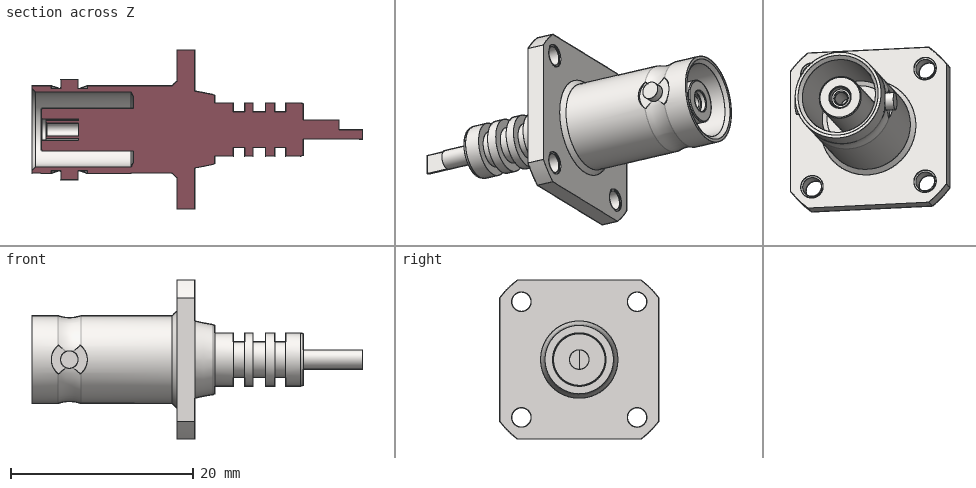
import cadquery as cq
total_length = 36.3
barrel_end = 15.4
flange_front = 15.9
flange_back = 17.9
collar_back = 20.07
cable_start = 29.8

barrel_radius = 9.65 / 2
flare_radius = barrel_radius + (flange_front - barrel_end)
groove_front = 2.85
groove_back = 5.37
groove_depth = 0.2

mouth_radius = 9.0 / 2
bore_radius = 8.2 / 2
floor_radius = 7.22 / 2
bore_end = 10.9
floor_station = 11.1

boss_radius = 4.72 / 2
boss_front = 1.0
boss_edge = 0.1
boss_hole_radius = 2.32 / 2
boss_mouth_radius = 2.5 / 2
contact_radius = 2.07 / 2
contact_front = 1.52
contact_entry_radius = 1.65 / 2
contact_hole_radius = 1.38 / 2
contact_hole_end = 5.1

pin_station = 4.1
pin_radius = 1.92 / 2
pin_tip = 5.5
pin_seat_radius = 3.95 / 2
pin_seat_height = 4.55

flange_side = 17.5
corner_radius = 22.15 / 2
hole_offset = 6.35
hole_diameter = 2.1
hole_mouth_diameter = 2.5
hole_mouth_depth = 0.15

collar_front_radius = 8.5 / 2
collar_back_radius = 7.75 / 2
collar_edge = 0.2
collar_edge_drop = 0.1

rib_radius = 5.88 / 2
neck_radius = 3.95 / 2
necks = [(22.1, 23.35), (24.3, 25.63), (26.68, 27.85)]
relief_edge = 0.3
relief_edge_drop = 0.1

cable_radius = 2.15 / 2
cable_cut_start = 33.72


def cylinder(radius, start, end):
    """Solid cylinder about the X axis."""
    return cq.Workplane("YZ", origin=(start, 0, 0)).circle(radius).extrude(end - start)


def make_outer_body():
    """Everything turned about the X axis, as one solid without cavities."""
    groove_middle = (groove_front + groove_back) / 2
    profile = (
        cq.Workplane("XY")
        .moveTo(0, 0)
        .lineTo(0, barrel_radius)
        .lineTo(groove_front, barrel_radius)
        .threePointArc((groove_middle, barrel_radius - groove_depth), (groove_back, barrel_radius))
        .lineTo(barrel_end, barrel_radius)
        .lineTo(flange_front, flare_radius)
        .lineTo(flange_back, flare_radius)
        .lineTo(flange_back, collar_front_radius)
        .lineTo(collar_back - collar_edge, collar_back_radius)
        .lineTo(collar_back, collar_back_radius - collar_edge_drop)
        .lineTo(collar_back, rib_radius)
    )
    for start, end in necks:
        profile = (
            profile.lineTo(start, rib_radius)
            .lineTo(start, neck_radius)
            .lineTo(end, neck_radius)
            .lineTo(end, rib_radius)
        )
    profile = (
        profile.lineTo(cable_start - relief_edge, rib_radius)
        .lineTo(cable_start, rib_radius - relief_edge_drop)
        .lineTo(cable_start, cable_radius)
        .lineTo(total_length, cable_radius)
        .lineTo(total_length, 0)
        .close()
    )
    return profile.revolve(360, (0, 0, 0), (1, 0, 0))


def make_flange():
    """Square plate with corners turned about the X axis and four counterbored holes."""
    hole_span = 2 * hole_offset
    plate = (
        cq.Workplane("YZ", origin=(flange_front, 0, 0))
        .rect(flange_side, flange_side)
        .extrude(flange_back - flange_front)
        .intersect(cylinder(corner_radius, flange_front, flange_back))
    )
    return (
        plate.faces("<X")
        .workplane(origin=(flange_front, 0, 0))
        .rect(hole_span, hole_span, forConstruction=True)
        .vertices()
        .cboreHole(hole_diameter, hole_mouth_diameter, hole_mouth_depth)
    )


def make_socket():
    """Cavity of the socket: a flared mouth, a straight bore and a tapered floor edge."""
    mouth_depth = mouth_radius - bore_radius
    return (
        cq.Workplane("XY")
        .polyline([
            (0, 0),
            (0, mouth_radius),
            (mouth_depth, bore_radius),
            (bore_end, bore_radius),
            (floor_station, floor_radius),
            (floor_station, 0),
        ])
        .close()
        .revolve(360, (0, 0, 0), (1, 0, 0))
    )


def make_insert():
    """Insulator boss with the hollow centre contact recessed in it."""
    boss = cylinder(boss_radius, boss_front, floor_station).faces("<X").chamfer(boss_edge)
    boss = boss.cut(cylinder(boss_hole_radius, boss_front, contact_hole_end))
    mouth_edge = boss.faces("<X").edges(cq.selectors.RadiusNthSelector(0))
    boss = mouth_edge.chamfer(boss_mouth_radius - boss_hole_radius)
    contact = cylinder(contact_radius, contact_front, floor_station)
    contact = contact.cut(cylinder(contact_hole_radius, contact_front, contact_hole_end))
    entry_edge = contact.faces("<X").edges(cq.selectors.RadiusNthSelector(0))
    contact = entry_edge.chamfer(contact_entry_radius - contact_hole_radius)
    return boss.union(contact)


def add_bayonet_pins(body):
    """Flat seats on both sides of the barrel, each with a round pin."""
    seat_depth = barrel_radius - pin_seat_height
    for side in (-1, 1):
        seat_plane = cq.Plane((pin_station, side * pin_seat_height, 0), (1, 0, 0), (0, side, 0))
        body = body.cut(cq.Workplane(seat_plane).circle(pin_seat_radius).extrude(seat_depth))
        root = (pin_seat_height - bore_radius) / 2
        pin = cq.Workplane(seat_plane).workplane(offset=-root).circle(pin_radius)
        body = body.union(pin.extrude(root + pin_tip - pin_seat_height))
    return body


def make_cable_cut():
    """Block that removes the +Y half of the cable end."""
    return cq.Workplane("XY").box(
        total_length - cable_cut_start, cable_radius, 2 * cable_radius, centered=(False, False, True)
    ).translate((cable_cut_start, 0, 0))


body = make_outer_body().union(make_flange()).cut(make_socket()).union(make_insert())
body = add_bayonet_pins(body)
result = body.cut(make_cable_cut())